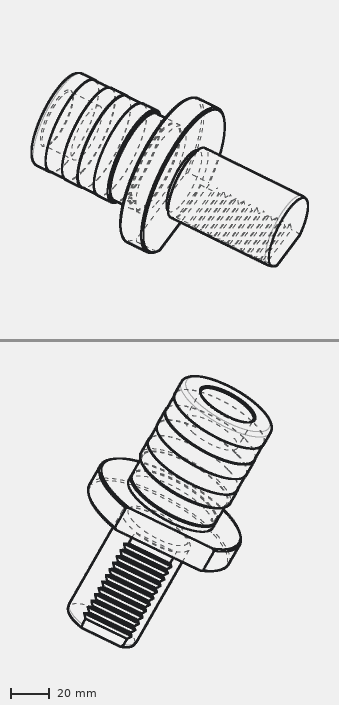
import cadquery as cq

TOTAL_LENGTH = 140.0
COLLAR_END = 47.7
FLANGE_START = 63.0
FLANGE_END = 77.0
SHANK_START = 79.4

COLLAR_DIAMETER = 53.0
COLLAR_FRONT_FILLET = 2.0
COLLAR_BACK_CHAMFER = 0.8
BAND_DIAMETER = 52.5
BAND_OUTER_EDGES = (9.4, 38.5)
BAND_INNER_EDGES = (19.2, 28.8)
BAND_DEPTH = (COLLAR_DIAMETER - BAND_DIAMETER) / 2

NECK_DIAMETER = 50.0
NECK_GROOVE_START = 59.2
NECK_GROOVE_WIDTH = 0.7
NECK_GROOVE_DEPTH = 0.1

BORE_DIAMETER = 31.0
BORE_DEPTH = 18.2
BORE_CHAMFER = 0.7

FLANGE_DIAMETER = 82.9
FLANGE_CHAMFER = 0.8
FLANGE_FLAT_Z = -32.5

SHANK_DIAMETER = 40.0
SHANK_TAPER_LENGTH = 2.0
SHANK_TIP_DIAMETER = 39.2
UNDERCUT_RADIUS = SHANK_START - FLANGE_END
SHANK_FLAT_START = 79.8
SHANK_FLAT_Z = -16.0

GROOVE_COUNT = 12
GROOVE_PITCH = 4.0
FIRST_GROOVE_X = 88.6
GROOVE_DEPTH = 1.5
GROOVE_HALF_WIDTH = 1.8

SCREW_X = 60.0
SCREW_DIAMETER = 5.0
SCREW_RECESS = 0.21
SOCKET_ACROSS_CORNERS = 3.4
SOCKET_DEPTH = 2.1


def turned_body():
    """Solid of revolution of the half profile, from the collar face to the shank tip."""
    collar_r = COLLAR_DIAMETER / 2
    band_r = BAND_DIAMETER / 2
    neck_r = NECK_DIAMETER / 2
    flange_r = FLANGE_DIAMETER / 2
    shank_r = SHANK_DIAMETER / 2
    return (
        cq.Workplane("XY")
        .lineTo(0, collar_r - COLLAR_FRONT_FILLET)
        .radiusArc((COLLAR_FRONT_FILLET, collar_r), COLLAR_FRONT_FILLET)
        .lineTo(BAND_OUTER_EDGES[0], collar_r)
        .lineTo(BAND_OUTER_EDGES[0], band_r)
        .lineTo(BAND_INNER_EDGES[0], band_r)
        .lineTo(BAND_INNER_EDGES[0] + BAND_DEPTH, collar_r)
        .lineTo(BAND_INNER_EDGES[1] - BAND_DEPTH, collar_r)
        .lineTo(BAND_INNER_EDGES[1], band_r)
        .lineTo(BAND_OUTER_EDGES[1], band_r)
        .lineTo(BAND_OUTER_EDGES[1], collar_r)
        .lineTo(COLLAR_END - COLLAR_BACK_CHAMFER, collar_r)
        .lineTo(COLLAR_END, collar_r - COLLAR_BACK_CHAMFER)
        .lineTo(COLLAR_END, neck_r)
        .lineTo(FLANGE_START, neck_r)
        .lineTo(FLANGE_START, flange_r - FLANGE_CHAMFER)
        .lineTo(FLANGE_START + FLANGE_CHAMFER, flange_r)
        .lineTo(FLANGE_END - FLANGE_CHAMFER, flange_r)
        .lineTo(FLANGE_END, flange_r - FLANGE_CHAMFER)
        .lineTo(FLANGE_END, shank_r - UNDERCUT_RADIUS)
        .radiusArc((SHANK_START, shank_r), -UNDERCUT_RADIUS)
        .lineTo(TOTAL_LENGTH - SHANK_TAPER_LENGTH, shank_r)
        .lineTo(TOTAL_LENGTH, SHANK_TIP_DIAMETER / 2)
        .lineTo(TOTAL_LENGTH, 0)
        .close()
        .revolve(360, (0, 0, 0), (1, 0, 0))
    )


def bore():
    bore_r = BORE_DIAMETER / 2
    return (
        cq.Workplane("XY")
        .lineTo(0, bore_r + BORE_CHAMFER)
        .lineTo(BORE_CHAMFER, bore_r)
        .lineTo(BORE_DEPTH, bore_r)
        .lineTo(BORE_DEPTH, 0)
        .close()
        .revolve(360, (0, 0, 0), (1, 0, 0))
    )


def neck_groove():
    neck_r = NECK_DIAMETER / 2
    ring = cq.Workplane("YZ").workplane(offset=NECK_GROOVE_START)
    return ring.circle(COLLAR_DIAMETER / 2).circle(neck_r - NECK_GROOVE_DEPTH).extrude(NECK_GROOVE_WIDTH)


def set_screw_recess():
    """Shallow round recess over the screw, with the hexagon socket below it."""
    recess_floor = NECK_DIAMETER / 2 - SCREW_RECESS
    screw_end = (
        cq.Workplane("XZ", origin=(SCREW_X, 0, 0))
        .workplane(offset=recess_floor)
        .circle(SCREW_DIAMETER / 2)
        .extrude(SCREW_DIAMETER)
    )
    socket = (
        cq.Workplane("XZ", origin=(SCREW_X, 0, 0))
        .workplane(offset=recess_floor - SOCKET_DEPTH)
        .polygon(6, SOCKET_ACROSS_CORNERS)
        .extrude(SCREW_DIAMETER)
    )
    return screw_end.union(socket)


def block_below(z, x_start, x_end):
    """Block that removes everything under height z between two X positions."""
    size = FLANGE_DIAMETER
    return (
        cq.Workplane("XY")
        .box(x_end - x_start, size, size, centered=(False, True, False))
        .translate((x_start, 0, z - size))
    )


def tooth_groove(x):
    return (
        cq.Workplane("XZ")
        .moveTo(x - GROOVE_HALF_WIDTH, SHANK_FLAT_Z)
        .lineTo(x, SHANK_FLAT_Z + GROOVE_DEPTH)
        .lineTo(x + GROOVE_HALF_WIDTH, SHANK_FLAT_Z)
        .close()
        .extrude(SHANK_DIAMETER / 2, both=True)
    )


result = turned_body().cut(bore()).cut(neck_groove()).cut(set_screw_recess())
result = result.cut(block_below(FLANGE_FLAT_Z, FLANGE_START, FLANGE_END))
result = result.cut(block_below(SHANK_FLAT_Z, SHANK_FLAT_START, TOTAL_LENGTH))
for index in range(GROOVE_COUNT):
    result = result.cut(tooth_groove(FIRST_GROOVE_X + index * GROOVE_PITCH))